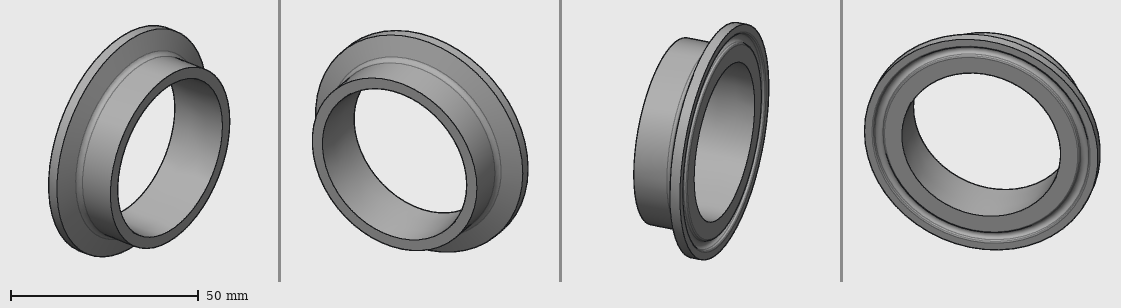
import cadquery as cq
import math

length = 15.88
flange_radius = 63.91 / 2
flange_rim = 2.87
cone_angle = math.radians(20)
tube_radius = 50.8 / 2
neck_fillet = 1.59

face_bore_radius = 43.4 / 2
tube_bore_radius = 44.45 / 2

groove_mean_radius = 56.34 / 2
groove_depth = 1.65
groove_flank_slope = math.radians(70)
groove_floor_radius = 1.19
groove_lip_radius = 0.4

cone_foot = flange_rim + (flange_radius - tube_radius) * math.tan(cone_angle)


def make_ferrule():
    """Flange, back cone, tube and tapered bore revolved about X, with the neck rounded."""
    body = (
        cq.Workplane("XY")
        .moveTo(0, face_bore_radius)
        .lineTo(0, flange_radius)
        .lineTo(flange_rim, flange_radius)
        .lineTo(cone_foot, tube_radius)
        .lineTo(length, tube_radius)
        .lineTo(length, tube_bore_radius)
        .close()
        .revolve(360, (0, 0, 0), (1, 0, 0))
    )
    neck_edge = cq.selectors.RadiusNthSelector(2)
    return body.edges("%CIRCLE").edges(neck_edge).edges("<X").fillet(neck_fillet)


groove_arc_depth = (groove_floor_radius + groove_lip_radius) * (1 - math.cos(groove_flank_slope))
groove_flank_width = (groove_depth - groove_arc_depth) / math.tan(groove_flank_slope)
groove_arc_width = (groove_floor_radius + groove_lip_radius) * math.sin(groove_flank_slope)
groove_half_width = groove_arc_width + groove_flank_width


def floor_point(slope, side):
    """Point on the groove floor where its tangent makes the given slope with the face."""
    depth = groove_depth - groove_floor_radius * (1 - math.cos(slope))
    return depth, groove_mean_radius + side * groove_floor_radius * math.sin(slope)


def lip_point(slope, side):
    """Point on a groove lip where its tangent makes the given slope with the face."""
    depth = groove_lip_radius * (1 - math.cos(slope))
    offset = groove_half_width - groove_lip_radius * math.sin(slope)
    return depth, groove_mean_radius + side * offset


def make_groove():
    """Ring to be cut from the flange face, revolved about X."""
    inner = -1
    outer = 1
    flank = groove_flank_slope
    return (
        cq.Workplane("XY")
        .moveTo(*lip_point(0, inner))
        .threePointArc(lip_point(flank / 2, inner), lip_point(flank, inner))
        .lineTo(*floor_point(flank, inner))
        .threePointArc(floor_point(0, outer), floor_point(flank, outer))
        .lineTo(*lip_point(flank, outer))
        .threePointArc(lip_point(flank / 2, outer), lip_point(0, outer))
        .close()
        .revolve(360, (0, 0, 0), (1, 0, 0))
    )


result = make_ferrule().cut(make_groove())